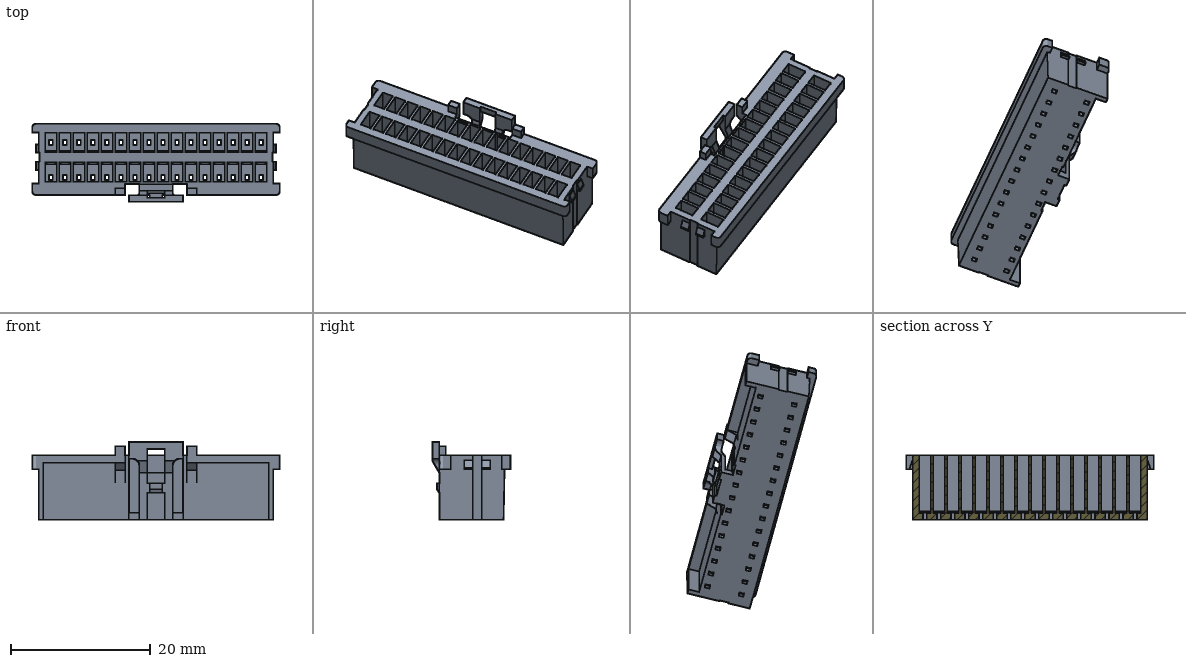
import cadquery as cq


flange_length = 35.4
flange_depth = 10.2
flange_corner_radius = 0.53
body_length = 33.55
body_height = 9.25
body_depth_top = 9.38
body_depth_bottom = 9.2
ear_bottom = 7.22
ear_front_depth = 1.65
ear_back_depth = 1.27

end_groove_front = 4.78
end_groove_back = 6.05
end_groove_depth = 0.1
wedge_width = 1.2
wedge_reach = 0.4
wedge_top = 8.53
wedge_crest = 7.47
wedge_bottom = ear_bottom

recess_length = 32.3
recess_depth = 1.55
recess_top = 8.18
notch_width = 8.85
latch_groove_depth = 0.18

columns = 16
column_span = 30.02
pitch = column_span / (columns - 1)
cavity_width = 1.6
cavity_depth = 2.8
front_row_start = 1.88
front_row_y = front_row_start + cavity_depth / 2
back_row_y = 7.5
cavity_floor = 1.0
pin_hole_width = 0.5
pin_hole_depth = 0.67
front_pin_y = 2.5
back_pin_y = back_row_y
ledge_width = 1.25
ledge_depth = 0.25
ramp_depth = 0.3
ledge_height = 0.23

post_width = 1.4
post_depth = 0.95
post_top = 10.55
gusset_face = 1.35
gusset_face_top = 7.08
gusset_face_bottom = 6.15
gusset_bottom = 5.35

head_width = 7.8
head_reach = 1.0
head_bottom = 8.7
latch_top = 11.15
slope_top = 8.43
leg_width = 4.8
leg_thickness = 0.6
head_back_bottom = 8.3
latch_fillet = 0.95
latch_root_height = 1.52
window_width = 2.48
window_top = 10.12
window_bottom = 6.73
slope_bottom = window_bottom
leg_back_top = window_bottom
leg_pocket_depth = 0.3
upper_pocket_bottom = 5.25
lower_pocket_top = 3.85
head_slot_depth = 0.35
bump_width = 1.85
bump_reach = 0.35
bump_crest = 4.35


def block(x_range, y_range, z_range):
    """Box between the given limits."""
    size = [high - low for low, high in (x_range, y_range, z_range)]
    corner = (x_range[0], y_range[0], z_range[0])
    return cq.Workplane("XY").box(*size, centered=False).translate(corner)


def centred_block(width, y_range, z_range, x_middle=0):
    """Box whose width is centred on x_middle."""
    return block((x_middle - width / 2, x_middle + width / 2), y_range, z_range)


def side_prism(points, width, x_middle=0):
    """Outline of (y, z) points, extruded along X about x_middle."""
    prism = cq.Workplane("YZ").polyline(points).close().extrude(width / 2, both=True)
    return prism.translate((x_middle, 0, 0))


def make_body():
    profile = [(0, 0), (body_depth_bottom, 0), (body_depth_top, body_height), (0, body_height)]
    body = side_prism(profile, body_length)
    recess = centred_block(recess_length, (0, recess_depth), (0, recess_top))
    return body.cut(recess)


def add_flange(body):
    flange = centred_block(flange_length, (0, flange_depth), (ear_bottom, body_height))
    flange = flange.edges("|Z").fillet(flange_corner_radius)
    middle = centred_block(
        flange_length, (ear_front_depth, flange_depth - ear_back_depth), (ear_bottom, body_height)
    )
    recess = centred_block(recess_length, (0, recess_depth), (ear_bottom, recess_top))
    return body.union(flange.cut(middle).cut(recess))


def add_end_details(body):
    groove_y = (end_groove_front, end_groove_back)
    end_x = body_length / 2
    grooved_length = body_length - 2 * end_groove_depth
    groove = centred_block(flange_length, groove_y, (0, body_height)).cut(
        centred_block(grooved_length, groove_y, (0, body_height))
    )
    body = body.cut(groove)

    inner_x = end_x - wedge_reach
    wedge_outline = [
        (inner_x, wedge_top),
        (end_x, wedge_top),
        (end_x + wedge_reach, wedge_crest),
        (end_x + wedge_reach, wedge_bottom),
        (inner_x, wedge_bottom),
    ]
    wedge = cq.Workplane("XZ").polyline(wedge_outline).close().extrude(-wedge_width)
    for front_y in (end_groove_front - wedge_width, end_groove_back):
        placed = wedge.translate((0, front_y, 0))
        body = body.union(placed).union(placed.mirror("YZ"))
    return body


def cavity_tool(row_y, pin_y, ledge_side):
    """Cavity with its pin hole; ledge_side is the Y direction of the wall with the ledge."""
    row_y_range = (row_y - cavity_depth / 2, row_y + cavity_depth / 2)
    cavity = centred_block(cavity_width, row_y_range, (cavity_floor, body_height))
    ledge_middle = row_y + ledge_side * (cavity_depth - ledge_depth) / 2
    ledge = centred_block(
        ledge_width,
        (ledge_middle - ledge_depth / 2, ledge_middle + ledge_depth / 2),
        (cavity_floor, cavity_floor + ledge_height),
    )
    pin_y_range = (pin_y - pin_hole_depth / 2, pin_y + pin_hole_depth / 2)
    pin_hole = centred_block(pin_hole_width, pin_y_range, (0, body_height))
    return cavity.cut(ledge).union(pin_hole)


def make_ramp():
    """Ramp along the foot of the inner wall of a front cavity."""
    wall_y = front_row_y + cavity_depth / 2
    outline = [
        (wall_y, cavity_floor),
        (wall_y, cavity_floor + ledge_height),
        (wall_y - ramp_depth, cavity_floor),
    ]
    return side_prism(outline, cavity_width)


def cut_cavities(body):
    front_cavity = cavity_tool(front_row_y, front_pin_y, 1).cut(make_ramp())
    back_cavity = cavity_tool(back_row_y, back_pin_y, -1)
    for column in range(columns):
        shift = ((column - (columns - 1) / 2) * pitch, 0, 0)
        body = body.cut(front_cavity.translate(shift)).cut(back_cavity.translate(shift))
    return body


def cut_latch_notch(body):
    notch = centred_block(notch_width, (0, recess_depth), (0, body_height))
    body = body.cut(notch)

    groove_y = (recess_depth, recess_depth + latch_groove_depth)
    groove_width = (head_width - leg_width) / 2
    groove_x = (head_width + leg_width) / 4
    for side in (-1, 1):
        body = body.cut(centred_block(groove_width, groove_y, (0, head_bottom), side * groove_x))
    return body


def add_posts(body):
    gusset_outline = [
        (0, recess_top),
        (gusset_face, gusset_face_top),
        (gusset_face, gusset_face_bottom),
        (recess_depth, gusset_bottom),
        (recess_depth, recess_top),
    ]
    for side in (-1, 1):
        post_x = side * (notch_width + post_width) / 2
        post = centred_block(post_width, (0, post_depth), (recess_top, post_top), post_x)
        body = body.union(post).union(side_prism(gusset_outline, post_width, post_x))
    return body


def make_latch():
    side_outline = [
        (0, 0),
        (leg_thickness, 0),
        (leg_thickness, leg_back_top),
        (0, head_back_bottom),
        (0, latch_top),
        (-head_reach, latch_top),
        (-head_reach, slope_top),
        (0, slope_bottom),
    ]
    side_shape = side_prism(side_outline, head_width)

    all_y = (-head_reach, leg_thickness)
    leg = centred_block(leg_width, all_y, (0, latch_top))
    head = centred_block(head_width, all_y, (head_bottom, latch_top))
    tee = leg.union(head)
    for x in (-leg_width / 2, leg_width / 2):
        corner = cq.selectors.NearestToPointSelector((x, 0, head_bottom))
        tee = tee.edges("|Y").edges(corner).fillet(latch_fillet)
    latch = side_shape.intersect(tee)

    pockets = [
        (all_y, (window_bottom, window_top)),
        ((0, leg_pocket_depth), (upper_pocket_bottom, window_bottom)),
        ((0, leg_pocket_depth), (0, lower_pocket_top)),
        ((-head_slot_depth, 0), (window_top, latch_top)),
    ]
    for y_range, z_range in pockets:
        latch = latch.cut(centred_block(window_width, y_range, z_range))

    bump_outline = [
        (leg_pocket_depth, upper_pocket_bottom),
        (-bump_reach, upper_pocket_bottom),
        (-bump_reach, bump_crest),
        (0, lower_pocket_top),
        (leg_pocket_depth, lower_pocket_top),
    ]
    latch = latch.union(side_prism(bump_outline, bump_width))

    root_y = (leg_thickness, recess_depth)
    return latch.union(centred_block(leg_width, root_y, (0, latch_root_height)))


housing = add_end_details(add_flange(make_body()))
housing = cut_latch_notch(cut_cavities(housing))
result = add_posts(housing).union(make_latch())